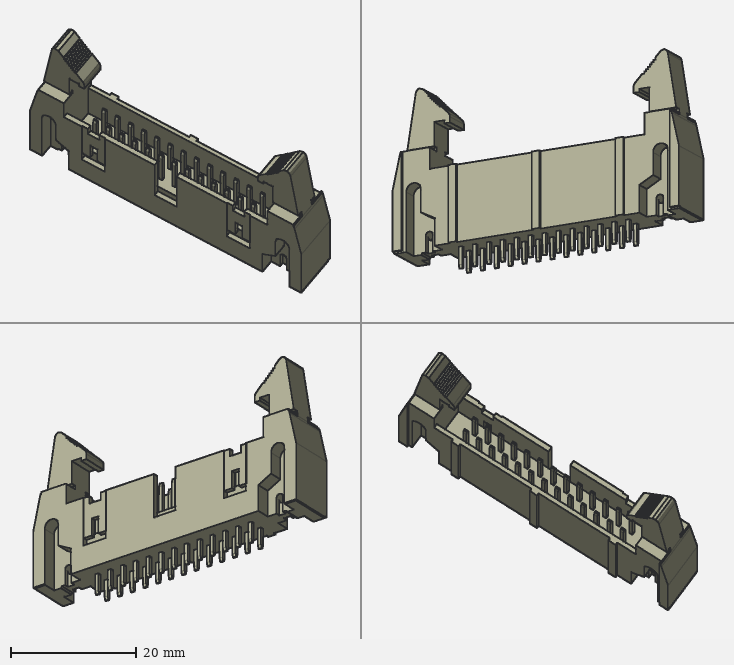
import cadquery as cq


length = 52.2
half_length = length / 2
half_depth = 3.9
back_relief = 0.45
back_y = half_depth + back_relief

wall_top = 13.0
floor_z = 6.4
front_wall = 0.95
back_wall = 0.8
cavity_half_length = 19.6

pin_pitch = 2.54
pins_per_row = 13
pin_width = 0.65
pin_tip_width = 0.25
pin_taper = 0.65
pin_bottom = -3.6
pin_top = 12.55

tower_top = 16.6
tower_lip_z = 16.3
tower_bevel_z = 15.75
tower_taper_z = 10.05
tower_top_x = 24.55
tower_lip_x = 24.65
tower_bevel_x = 24.8
foot_drop = 0.3
foot_inner_x = 22.45
foot_slope_run = 0.2
foot_bevel = 0.15
flange_inner_x = 24.45
flange_top = 16.45

web_half_depth = 1.4
recess_outer_x = 23.8
recess_inner_x = 21.15
recess_skirt_x = 18.65
recess_top = 11.05
recess_shoulder_z = 5.95
recess_skirt_z = 4.65
pivot_x = 21.0
pivot_z = 2.75
pivot_diameter = 1.25
pivot_groove_depth = 0.8

latch_half_depth = 2.35
latch_shoulder_z = 17.25
peak_arc_x = 23.0
peak_arc_z = 26.55
crest_x = 22.3
crest_z = 27.3
crest_facet_x = 21.65
hook_tip_x = 16.7
hook_top_z = 22.15
hook_notch_x = 17.75
hook_notch_z = 21.3
hook_bottom_z = 20.8
hook_radius = 0.95
grip_start_x = 20.7
grip_step = 0.34
grip_count = 7

window_x = 13.95
window_width = 4.45
window_bottom = 4.4
tongue_recess = 0.15
tongue_bottom = 5.8
tongue_slot_width = 1.35
tongue_slot_top = 8.9
tongue_notch_width = 2.2
tongue_notch_bottom = 11.7
key_slot_width = 4.25
key_slot_bottom = 5.15
rib_width = 1.4
rib_x = (pins_per_row - 1) / 2 * pin_pitch


def box(x0, x1, y0, y1, z0, z1):
    """Box between two opposite corners."""
    return cq.Workplane("XY").box(x1 - x0, y1 - y0, z1 - z0, centered=False).translate((x0, y0, z0))


def slab(outline, y0, y1):
    """Closed XZ outline extruded from y0 to y1."""
    return outline.extrude(y0 - y1).translate((0, y0, 0))


def both_ends(body):
    """Body at the -X end together with its mirror image at the +X end."""
    return body.union(body.mirror("YZ"))


def tower():
    """Solid end tower with a lowered foot, leaning outer face and back flange."""
    outline = (
        cq.Workplane("XZ")
        .moveTo(-half_length, -foot_drop)
        .lineTo(-half_length, tower_taper_z)
        .lineTo(-tower_bevel_x, tower_bevel_z)
        .lineTo(-tower_lip_x, tower_lip_z)
        .lineTo(-tower_top_x, tower_lip_z)
        .lineTo(-tower_top_x, tower_top)
        .lineTo(-cavity_half_length, tower_top)
        .lineTo(-cavity_half_length, 0)
        .lineTo(-foot_inner_x + foot_slope_run, 0)
        .lineTo(-foot_inner_x, -foot_drop)
        .close()
    )
    body = slab(outline, -half_depth, back_y)
    body = body.cut(box(-flange_inner_x, -cavity_half_length, half_depth, back_y, -foot_drop, tower_top))
    body = body.cut(box(-half_length, -flange_inner_x, half_depth, back_y, -foot_drop, 0))
    body = body.cut(box(-half_length, -flange_inner_x, half_depth, back_y, flange_top, tower_top))
    return body.faces("<Z").edges("<X or <Y").chamfer(foot_bevel)


def tower_recess():
    """Pocket beside the latch web, on the front and on the back."""
    arch_radius = (recess_outer_x - recess_inner_x) / 2
    arch_base = recess_top - arch_radius
    outline = (
        cq.Workplane("XZ")
        .moveTo(-recess_outer_x, -foot_drop)
        .lineTo(-recess_outer_x, arch_base)
        .threePointArc((-recess_outer_x + arch_radius, recess_top), (-recess_inner_x, arch_base))
        .lineTo(-recess_inner_x, recess_shoulder_z)
        .lineTo(-recess_skirt_x, recess_skirt_z)
        .lineTo(-recess_skirt_x, -foot_drop)
        .close()
    )
    front = slab(outline, -half_depth, -web_half_depth)
    return front.union(front.mirror("XZ"))


def pivot_cut():
    """Pivot hole through the web, with a groove below it on each web face."""
    radius = pivot_diameter / 2
    hole = slab(
        cq.Workplane("XZ").center(-pivot_x, pivot_z).circle(radius), -web_half_depth, web_half_depth
    )
    groove = box(
        -pivot_x - radius, -pivot_x + radius,
        -web_half_depth, -web_half_depth + pivot_groove_depth,
        -foot_drop, pivot_z,
    )
    return hole.union(groove).union(groove.mirror("XZ"))


def latch():
    """Ejector latch: narrow neck, wide arm and a hook with a stepped grip on its 45 degree face."""
    slope_sum = hook_top_z - hook_tip_x
    outline = (
        cq.Workplane("XZ")
        .moveTo(-tower_lip_x, tower_lip_z)
        .lineTo(-peak_arc_x, peak_arc_z)
        .tangentArcPoint((-crest_x, crest_z), relative=False)
        .lineTo(-crest_facet_x, slope_sum + crest_facet_x)
        .lineTo(-hook_tip_x, hook_top_z)
        .lineTo(-hook_tip_x, hook_bottom_z)
        .lineTo(-hook_notch_x, hook_bottom_z)
        .lineTo(-hook_notch_x, hook_notch_z)
        .lineTo(-cavity_half_length, hook_notch_z)
        .lineTo(-cavity_half_length, tower_lip_z)
        .close()
    )
    arm = slab(outline, -latch_half_depth, latch_half_depth)
    arm = arm.edges(cq.selectors.NearestToPointSelector((-hook_tip_x, 0, hook_top_z))).fillet(hook_radius)
    for step in range(grip_count):
        left = -grip_start_x + step * grip_step
        right = left + grip_step
        notch = (
            cq.Workplane("XZ")
            .moveTo(left, slope_sum - left)
            .lineTo(left, slope_sum - right)
            .lineTo(right, slope_sum - right)
            .close()
        )
        arm = arm.cut(slab(notch, -latch_half_depth, latch_half_depth))
    beside_neck = box(
        -half_length, -cavity_half_length,
        -latch_half_depth, -web_half_depth, tower_lip_z, latch_shoulder_z,
    )
    return arm.cut(beside_neck).cut(beside_neck.mirror("XZ"))


def housing():
    """Long walls, floor block and back ribs between the towers."""
    body = box(-cavity_half_length, cavity_half_length, -half_depth, half_depth, 0, wall_top)
    for x in (-rib_x, 0, rib_x):
        body = body.union(box(x - rib_width / 2, x + rib_width / 2, half_depth, back_y, 0, wall_top))
    cavity = box(
        -cavity_half_length, cavity_half_length,
        -half_depth + front_wall, half_depth - back_wall, floor_z, wall_top,
    )
    return body.cut(cavity)


def front_cut(x, width, depth, z0, z1):
    """Cut into the front face, centred on x."""
    return box(x - width / 2, x + width / 2, -half_depth, -half_depth + depth, z0, z1)


def window():
    """Window holding a set-back tongue, which is slotted below and notched at the top."""
    x = -window_x
    opening = front_cut(x, window_width, front_wall, window_bottom, tongue_bottom)
    tongue_face = front_cut(x, window_width, tongue_recess, tongue_bottom, wall_top)
    slot = front_cut(x, tongue_slot_width, front_wall, tongue_bottom, tongue_slot_top)
    notch = front_cut(x, tongue_notch_width, front_wall, tongue_notch_bottom, wall_top)
    return opening.union(tongue_face).union(slot).union(notch)


def pin_row(y):
    """Row of square pins, each tapered across the rows at its two ends."""
    half_outline = [
        (y + pin_tip_width / 2, pin_bottom),
        (y + pin_width / 2, pin_bottom + pin_taper),
        (y + pin_width / 2, pin_top - pin_taper),
        (y + pin_tip_width / 2, pin_top),
    ]
    other_half = [(2 * y - edge_y, z) for edge_y, z in reversed(half_outline)]
    pin = cq.Workplane("YZ").polyline(half_outline + other_half).close().extrude(pin_width / 2, both=True)
    columns = [column - (pins_per_row - 1) / 2 for column in range(pins_per_row)]
    pins = [pin.val().translate(cq.Vector(column * pin_pitch, 0, 0)) for column in columns]
    return cq.Workplane(cq.Compound.makeCompound(pins))


result = housing().union(both_ends(tower()))
result = result.cut(both_ends(tower_recess())).cut(both_ends(pivot_cut())).union(both_ends(latch()))
result = result.cut(both_ends(window()))
result = result.cut(front_cut(0, key_slot_width, front_wall, key_slot_bottom, wall_top))
for row_y in (-pin_pitch / 2, pin_pitch / 2):
    result = result.union(pin_row(row_y))